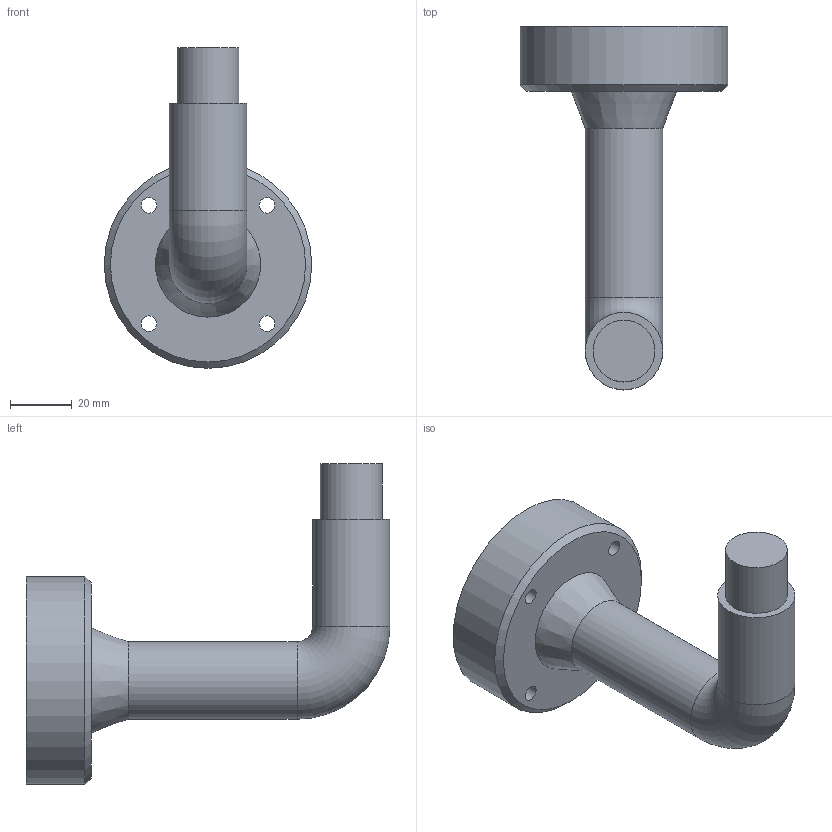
import cadquery as cq

flange_radius = 33.5
flange_thickness = 21.0
flange_chamfer = 2.0

screw_hole_diameter = 5.0
screw_circle_radius = 27.0
screw_hole_count = 4
first_screw_angle = 45.0

arm_radius = 12.5
flare_radius = 17.0
flare_length = 12.0
arm_reach = 105.0
bend_radius = 17.5
upright_top = 52.0

pin_radius = 10.0
pin_top = 70.0


def front_plane(distance):
    """Plane parallel to the wall, at a distance in front of it, with its normal along -Y."""
    return cq.Workplane("XZ", origin=(0, -distance, 0))


def make_flange():
    disc = front_plane(0).circle(flange_radius).extrude(flange_thickness)
    disc = disc.faces("<Y").edges().chamfer(flange_chamfer)
    holes = (
        front_plane(0)
        .polarArray(screw_circle_radius, first_screw_angle, 360, screw_hole_count)
        .circle(screw_hole_diameter / 2)
        .extrude(flange_thickness)
    )
    return disc.cut(holes)


def make_flare():
    return (
        front_plane(flange_thickness)
        .circle(flare_radius)
        .workplane(offset=flare_length)
        .circle(arm_radius)
        .loft()
    )


def make_straight_run():
    run_start = flange_thickness + flare_length
    run_end = arm_reach - bend_radius
    return front_plane(run_start).circle(arm_radius).extrude(run_end - run_start)


def make_elbow():
    """Quarter torus turning the arm from -Y to +Z about an axis parallel to X."""
    bend_start = arm_reach - bend_radius
    return (
        front_plane(bend_start)
        .circle(arm_radius)
        .revolve(90, (0, bend_radius, 0), (-1, bend_radius, 0))
    )


def make_upright():
    upright = (
        cq.Workplane("XY", origin=(0, -arm_reach, bend_radius))
        .circle(arm_radius)
        .extrude(upright_top - bend_radius)
    )
    pin = (
        cq.Workplane("XY", origin=(0, -arm_reach, upright_top))
        .circle(pin_radius)
        .extrude(pin_top - upright_top)
    )
    return upright.union(pin)


result = (
    make_flange()
    .union(make_flare())
    .union(make_straight_run())
    .union(make_elbow())
    .union(make_upright())
)